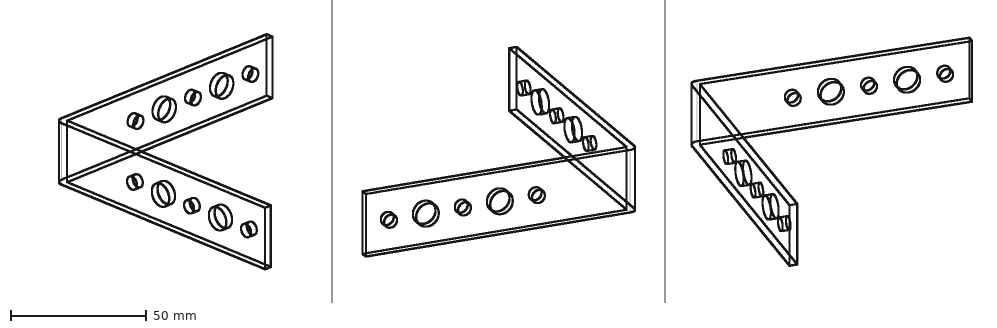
import cadquery as cq

leg_length = 110.0
strip_width = 25.0
thickness = 3.1
bend_radius = 3.1
small_hole_diameter = 5.2
large_hole_diameter = 9.1
end_hole_distance = 10.0
hole_pitch = 15.0
hole_count = 5

hole_positions = [leg_length - end_hole_distance - i * hole_pitch for i in range(hole_count)]
small_hole_positions = hole_positions[0::2]
large_hole_positions = hole_positions[1::2]


def make_angle():
    """L-shaped strip with a rounded outer corner and a sharp inner corner."""
    blank = cq.Workplane("XY").rect(leg_length, leg_length, centered=False).extrude(strip_width)
    inside = (
        cq.Workplane("XY")
        .moveTo(thickness, thickness)
        .rect(leg_length, leg_length, centered=False)
        .extrude(strip_width)
    )
    outer_corner = cq.selectors.NearestToPointSelector((0, 0, strip_width / 2))
    return blank.cut(inside).edges(outer_corner).fillet(bend_radius)


def make_hole_cutters(positions, diameter):
    """Cylinders through both legs at the given distances from the corner."""
    mid_width = strip_width / 2
    x_leg = (
        cq.Workplane("XZ")
        .pushPoints([(p, mid_width) for p in positions])
        .circle(diameter / 2)
        .extrude(-thickness)
    )
    y_leg = (
        cq.Workplane("YZ")
        .pushPoints([(p, mid_width) for p in positions])
        .circle(diameter / 2)
        .extrude(thickness)
    )
    return x_leg.add(y_leg).combine()


result = (
    make_angle()
    .cut(make_hole_cutters(small_hole_positions, small_hole_diameter))
    .cut(make_hole_cutters(large_hole_positions, large_hole_diameter))
)